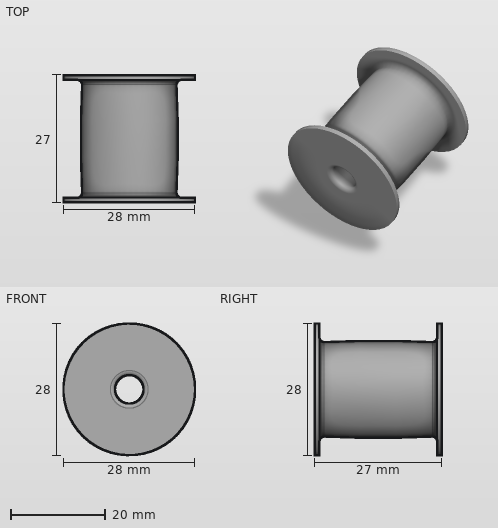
import cadquery as cq

flange_diameter = 28.0
length = 27.0
flange_thickness = 1.0
barrel_end_diameter = 20.1
barrel_mid_diameter = 20.7
root_fillet = 1.0
bore_diameter = 6.0
bore_rounding = 1.0

half_length = length / 2


def revolve_about_y(profile):
    """Turn a closed XY profile a full circle about the Y axis."""
    return profile.revolve(360, (0, 0, 0), (0, 1, 0))


def spool_body():
    """Two flanges joined by a slightly crowned barrel with filleted roots."""
    flange_radius = flange_diameter / 2
    barrel_end_radius = barrel_end_diameter / 2
    barrel_mid_radius = barrel_mid_diameter / 2
    fillet_foot_radius = barrel_end_radius + root_fillet
    inner_face = half_length - flange_thickness
    barrel_end = inner_face - root_fillet
    profile = (
        cq.Workplane("XY")
        .moveTo(0, -half_length)
        .lineTo(flange_radius, -half_length)
        .lineTo(flange_radius, -inner_face)
        .lineTo(fillet_foot_radius, -inner_face)
        .radiusArc((barrel_end_radius, -barrel_end), root_fillet)
        .threePointArc((barrel_mid_radius, 0), (barrel_end_radius, barrel_end))
        .radiusArc((fillet_foot_radius, inner_face), root_fillet)
        .lineTo(flange_radius, inner_face)
        .lineTo(flange_radius, half_length)
        .lineTo(0, half_length)
        .close()
    )
    return revolve_about_y(profile)


def bore():
    """Through hole along the axis, flared by a rounded lip at each end."""
    bore_radius = bore_diameter / 2
    mouth_radius = bore_radius + bore_rounding
    lip_start = half_length - bore_rounding
    profile = (
        cq.Workplane("XY")
        .moveTo(0, -half_length)
        .lineTo(mouth_radius, -half_length)
        .radiusArc((bore_radius, -lip_start), bore_rounding)
        .lineTo(bore_radius, lip_start)
        .radiusArc((mouth_radius, half_length), bore_rounding)
        .lineTo(0, half_length)
        .close()
    )
    return revolve_about_y(profile)


result = spool_body().cut(bore())